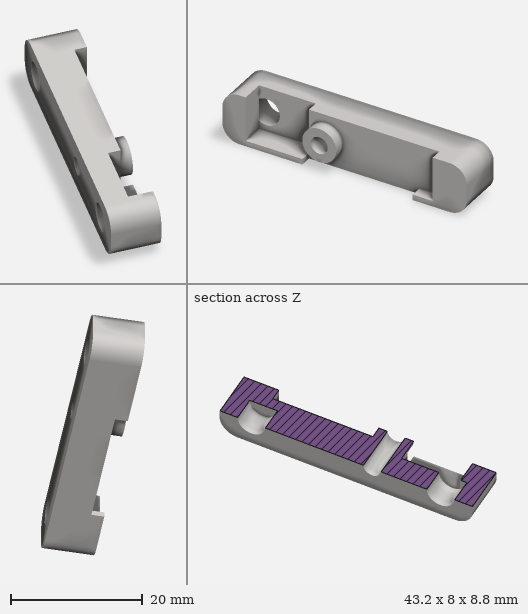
import cadquery as cq

LENGTH = 43.2
DEPTH = 8.0
HEIGHT = 8.8
CORNER_RADIUS = 3.02
MID_HEIGHT = HEIGHT / 2

END_BORE_DIAMETER = 4.7
LEFT_BORE_X = 5.4
RIGHT_BORE_X = 37.75
PIVOT_X = 26.05
PIVOT_HOLE_DIAMETER = 3.0
BOSS_DIAMETER = 6.0

STEP = 2.0
SHALLOW_FLOOR_Y = DEPTH - STEP
DEEP_FLOOR_Y = DEPTH - 2 * STEP
LEFT_BLOCK_END = 6.0
LEFT_LEDGE_END = 9.55
DEEP_POCKET_START = PIVOT_X + BOSS_DIAMETER / 2
DEEP_POCKET_END = 39.05
LEDGE_THICKNESS = 1.0


def box_between(x_start, x_end, y_start, z_start):
    """Box from the given limits out to the back face and top of the bar."""
    return cq.Workplane("XY").box(
        x_end - x_start, DEPTH - y_start, HEIGHT - z_start, centered=False
    ).translate((x_start, y_start, z_start))


def cylinder_along_y(x, diameter, y_start, y_end):
    """Cylinder at mid height whose axis runs front to back."""
    front_plane = cq.Workplane("XZ", origin=(x, y_start, MID_HEIGHT))
    return front_plane.circle(diameter / 2).extrude(y_start - y_end)


def rounded_bar():
    bar = cq.Workplane("XY").box(LENGTH, DEPTH, HEIGHT, centered=False)
    return bar.edges("|Y").fillet(CORNER_RADIUS)


part = rounded_bar()

part = part.cut(box_between(LEFT_BLOCK_END, LEFT_LEDGE_END, SHALLOW_FLOOR_Y, LEDGE_THICKNESS))
part = part.cut(box_between(LEFT_LEDGE_END, DEEP_POCKET_START, SHALLOW_FLOOR_Y, 0))

part = part.cut(box_between(DEEP_POCKET_START, DEEP_POCKET_END, DEEP_FLOOR_Y, LEDGE_THICKNESS))

part = part.union(cylinder_along_y(PIVOT_X, BOSS_DIAMETER, SHALLOW_FLOOR_Y, DEPTH))
part = part.cut(cylinder_along_y(PIVOT_X, PIVOT_HOLE_DIAMETER, 0, DEPTH))

for bore_x in (LEFT_BORE_X, RIGHT_BORE_X):
    part = part.cut(cylinder_along_y(bore_x, END_BORE_DIAMETER, 0, DEEP_FLOOR_Y))

result = part